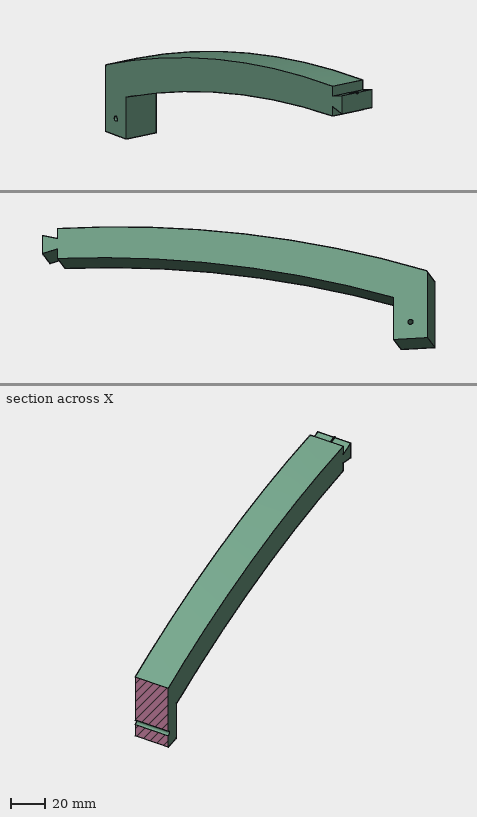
import cadquery as cq
import math

LENGTH = 229.0
WIDTH = 22.0
HEIGHT = 78.5

LEG_LENGTH = 20.1
LEG_OUTER_HEIGHT = 39.5
LEG_INNER_HEIGHT = 25.5
BEVEL_LENGTH = 0.7
BEVEL_RISE = 1.0
HOLE_DIAMETER = 3.0
HOLE_X = LEG_LENGTH / 2
HOLE_Z = 10.0

ARM_RADIUS = 652.5
SHOULDER_X = 219.3
SHOULDER_BOTTOM = 60.5

TONGUE_LENGTH = 9.0
TONGUE_CENTER_Z = 69.4
TONGUE_ROOT_HEIGHT = 6.5
TONGUE_TIP_HEIGHT = 11.0
RIB_DIAMETER = 1.0
RIB_SINK = 0.2
RIB_START_GAP = 0.7


def arc_midpoint(start, end, radius):
    """Middle of the upward-bulging arc running left to right from start to end."""
    dx = end[0] - start[0]
    dz = end[1] - start[1]
    chord = math.hypot(dx, dz)
    sag = radius - math.sqrt(radius**2 - (chord / 2) ** 2)
    mid_x = (start[0] + end[0]) / 2 - sag * dz / chord
    mid_z = (start[1] + end[1]) / 2 + sag * dx / chord
    return (mid_x, mid_z)


def extrude_across(profile):
    """Extrude an XZ profile symmetrically across the width."""
    return profile.extrude(WIDTH / 2, both=True)


def make_arm():
    outer_start = (BEVEL_LENGTH, LEG_OUTER_HEIGHT + BEVEL_RISE)
    outer_end = (SHOULDER_X, HEIGHT)
    inner_start = (LEG_LENGTH, LEG_INNER_HEIGHT)
    inner_end = (SHOULDER_X, SHOULDER_BOTTOM)
    profile = (
        cq.Workplane("XZ")
        .moveTo(0, 0)
        .lineTo(0, LEG_OUTER_HEIGHT)
        .lineTo(*outer_start)
        .threePointArc(arc_midpoint(outer_start, outer_end, ARM_RADIUS), outer_end)
        .lineTo(*inner_end)
        .threePointArc(arc_midpoint(inner_start, inner_end, ARM_RADIUS), inner_start)
        .lineTo(LEG_LENGTH, 0)
        .close()
    )
    return extrude_across(profile)


def make_tongue():
    tip_x = SHOULDER_X + TONGUE_LENGTH
    root_half = TONGUE_ROOT_HEIGHT / 2
    tip_half = TONGUE_TIP_HEIGHT / 2
    profile = cq.Workplane("XZ").polyline([
        (SHOULDER_X, TONGUE_CENTER_Z - root_half),
        (tip_x, TONGUE_CENTER_Z - tip_half),
        (tip_x, TONGUE_CENTER_Z + tip_half),
        (SHOULDER_X, TONGUE_CENTER_Z + root_half),
    ]).close()
    return extrude_across(profile)


def make_rib():
    """Round rib mostly sunk in the upper slope, its lower end edge reaching the full length."""
    slope = math.atan2((TONGUE_TIP_HEIGHT - TONGUE_ROOT_HEIGHT) / 2, TONGUE_LENGTH)
    radius = RIB_DIAMETER / 2
    start_x = SHOULDER_X + RIB_START_GAP
    surface_z = TONGUE_CENTER_Z + TONGUE_ROOT_HEIGHT / 2 + RIB_START_GAP * math.tan(slope)
    start_z = surface_z - RIB_SINK
    rib_length = (LENGTH - start_x - radius * math.sin(slope)) / math.cos(slope)
    direction = cq.Vector(math.cos(slope), 0, math.sin(slope))
    start = cq.Vector(start_x, 0, start_z)
    return cq.Workplane(obj=cq.Solid.makeCylinder(radius, rib_length, start, direction))


def make_hole():
    profile = cq.Workplane("XZ").center(HOLE_X, HOLE_Z).circle(HOLE_DIAMETER / 2)
    return extrude_across(profile)


result = make_arm().union(make_tongue()).union(make_rib()).cut(make_hole())